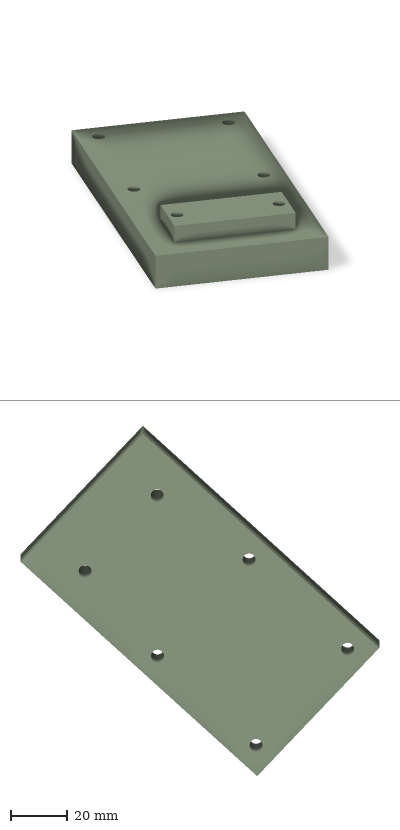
import cadquery as cq

plate_length = 114.3
plate_width = 63.5
plate_height = 12.7

pad_length = 19.1
pad_width = 44.5
pad_height = 6.4
pad_end_gap = 9.5
pad_x = plate_length / 2 - pad_end_gap - pad_length / 2

hole_diameter = 4.6
plate_hole_spacing = 47.7
plate_hole_end_gap = 7.9
plate_hole_x = -plate_length / 2 + plate_hole_end_gap + plate_hole_spacing / 2
pad_hole_spacing = 37.5


def block(length, width, height, center_x, bottom_z):
    """Box centred on the X axis and standing on bottom_z."""
    box = cq.Workplane("XY").box(length, width, height, centered=(True, True, False))
    return box.translate((center_x, 0, bottom_z))


def through_holes(points):
    """Vertical cutters passing through the plate and the pad."""
    cutters = cq.Workplane("XY").pushPoints(points).circle(hole_diameter / 2)
    return cutters.extrude(plate_height + pad_height)


plate = block(plate_length, plate_width, plate_height, 0, 0)
pad = block(pad_length, pad_width, pad_height, pad_x, plate_height)

plate_hole_points = [
    (plate_hole_x + side_x * plate_hole_spacing / 2, side_y * plate_hole_spacing / 2)
    for side_x in (-1, 1)
    for side_y in (-1, 1)
]

pad_hole_points = [(pad_x, side_y * pad_hole_spacing / 2) for side_y in (-1, 1)]

result = plate.union(pad).cut(through_holes(plate_hole_points + pad_hole_points))